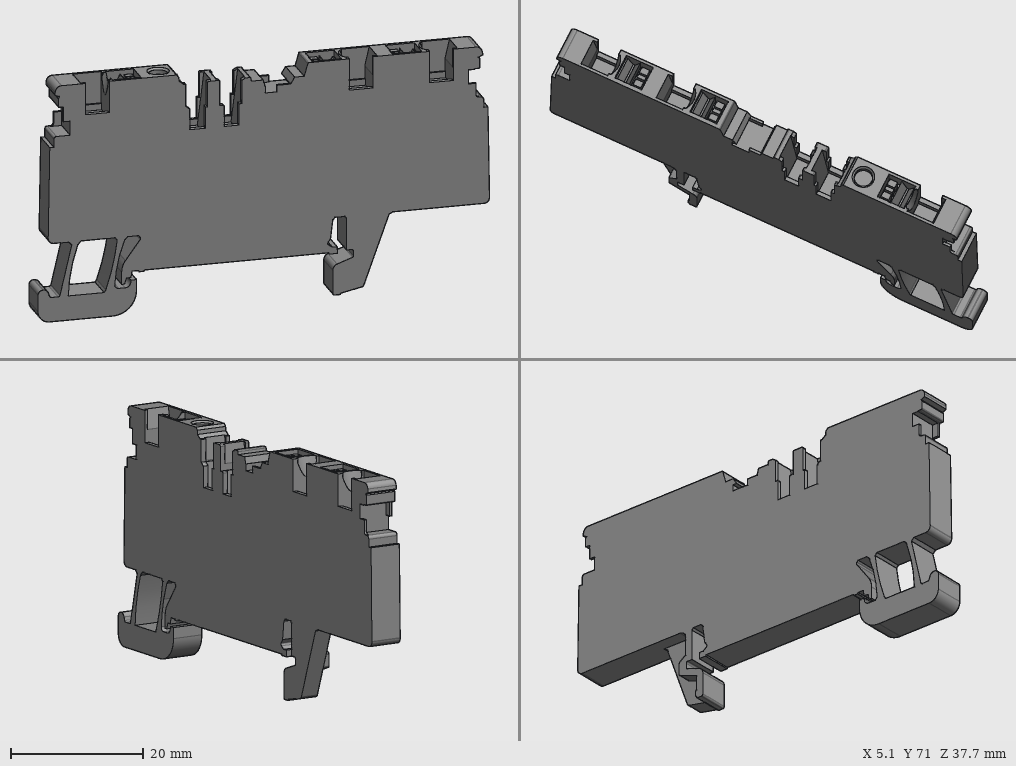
import cadquery as cq
import math


thickness = 5.1
length = 70.98
height = 37.65
half_x = thickness / 2
y_max = length / 2
y_min = -y_max

housing_bottom = 12.5
root_top = housing_bottom + 1.0
rail_web_bottom = 6.9
rail_step_height = 0.2
end_shoulder = 27.9
end_notch_bottom = 29.6
end_notch_top = 34.2
marker_ledge = 35.55
marker_seat = 34.5
fin_top = 36.15
bridge_step = 32.1
bridge_floor = 28.7

front_face = -33.9
taper_height = 13.45
housing_corner_radius = 0.9

side_wall = 0.42
end_pocket_mid = 31.85
end_pocket_half = 2.25
back_pocket_floor = 32.2
front_pocket_floor = -30.45

top_pocket_back = 4.9
top_pocket_front = 0.25
top_pocket_mid = 2.1
top_pocket_floor = 33.45

bridge_x_min = -1.93
bridge_x_max = 1.72
bridge_flare = 1.05
bridge_channel_depth = 1.0
bridge_channel_floor = bridge_floor - bridge_channel_depth
bridge_slots = [(-3.9, -6.22), (-9.2, -11.65)]

entry_spacing = 12.62
back_entry_y = 27.93
entries = [(back_entry_y, -1), (back_entry_y - entry_spacing, -1), (-26.15, 1)]
entry_length = 3.75
entry_x_min = -1.75
entry_x_max = 1.8
entry_mouth_x_min = -2.1
entry_depth = 6.0
entry_side_opening = 5.0
entry_slope_run = 0.7
entry_slope_drop = 3.0
entry_cone_radius = 2.75
entry_cone_half_width = 1.7

back_release_y = 22.67
release_slots = [(back_release_y, 1), (back_release_y - entry_spacing, 1), (-21.45, -1)]
release_length = 4.5
release_width = 4.0
release_x = 0.08
release_depth = 2.5
pusher_drop = 0.6
falling_ramp_start = -0.1
falling_ramp_end = 0.8
rising_ramp_start = 1.1
rising_ramp_end = 2.0
rising_ramp_drop = 1.0
pusher_offset = -1.25
pusher_length = 1.3
pusher_pads = [(-1.0, 1.0), (0.1, 0.6), (1.15, 1.0)]

test_y = -15.9
test_rim_radius = 1.7
test_radius = 1.4
test_chamfer_depth = 0.3
test_depth = 1.0

latch_web_recess = 2.2


def corner(previous, point, following):
    """Start, middle and end of the arc rounding an outline corner, or the bare corner point."""
    y, z = point[:2]
    if len(point) == 2:
        return [(y, z)]
    radius = point[2]
    back = cq.Vector(previous[0] - y, previous[1] - z).normalized()
    ahead = cq.Vector(following[0] - y, following[1] - z).normalized()
    half_angle = back.getAngle(ahead) / 2
    tangent = radius / math.tan(half_angle)
    to_arc = radius / math.sin(half_angle) - radius
    here = cq.Vector(y, z)
    start = here + back * tangent
    middle = here + (back + ahead).normalized() * to_arc
    end = here + ahead * tangent
    return [(v.x, v.y) for v in (start, middle, end)]


def plate(points, x_start=-half_x, x_end=half_x):
    """Extrude a (y, z) outline with rounded corners between two x positions."""
    count = len(points)
    corners = [corner(points[i - 1], points[i], points[(i + 1) % count]) for i in range(count)]
    sketch = cq.Workplane("YZ", origin=(x_start, 0, 0)).moveTo(*corners[0][-1])
    for rounded in corners[1:] + corners[:1]:
        sketch = sketch.lineTo(*rounded[0])
        if len(rounded) > 1:
            sketch = sketch.threePointArc(*rounded[1:])
    return sketch.close().extrude(x_end - x_start)


def box(x_range, y_range, z_range):
    """Axis-aligned block given by its limits, in either order."""
    size = [abs(b - a) for a, b in (x_range, y_range, z_range)]
    low = [min(limits) for limits in (x_range, y_range, z_range)]
    return cq.Workplane("XY").box(*size, centered=False).translate(tuple(low))


def housing():
    """Main body outline, followed from the +Y end over the top to the -Y end."""
    back_end = [
        (y_max, housing_bottom, housing_corner_radius),
        (y_max, taper_height),
        (35.25, end_shoulder),
        (34.6, end_shoulder),
        (34.6, end_notch_bottom, 0.5),
        (33.35, end_notch_bottom, 0.5),
        (33.35, end_pocket_mid),
        (33.1, end_pocket_mid),
        (33.1, end_notch_top, 0.15),
        (33.95, end_notch_top, 0.15),
        (33.95, 35.8),
        (33.7, 35.95),
        (34.45, 36.3),
        (34.2, height, 1.0),
    ]
    marker_step = [
        (6.95, height, 0.15),
        (6.35, marker_ledge),
        (4.85, marker_ledge),
        (4.2, marker_seat),
        (0.2, marker_seat),
        (-0.1, marker_ledge),
        (-1.95, marker_ledge),
        (-2.05, fin_top, 0.2),
        (-2.9, fin_top),
    ]
    bridge_fins = [
        (-3.45, 35.8),
        (-3.45, bridge_step),
        (bridge_slots[0][0], bridge_step),
        (bridge_slots[0][0], bridge_floor),
        (bridge_slots[0][1], bridge_floor),
        (bridge_slots[0][1], bridge_step, 0.2),
        (-6.9, bridge_step),
        (-6.9, fin_top, 0.25),
        (-8.85, fin_top, 0.25),
        (-8.85, bridge_step),
        (bridge_slots[1][0], bridge_step),
        (bridge_slots[1][0], bridge_floor),
        (bridge_slots[1][1], bridge_floor),
        (bridge_slots[1][1], 32.0),
        (-12.27, 32.5),
        (-12.27, 36.0),
        (-12.6, 36.05),
        (-13.3, 36.6),
        (-13.35, 37.25),
        (-13.75, height),
    ]
    front_end = [
        (-32.8, height, 1.0),
        (-32.8, 36.2),
        (-32.1, 35.9),
        (-32.3, 35.6),
        (-32.3, end_notch_top, 0.15),
        (-31.5, end_notch_top, 0.15),
        (-31.5, end_pocket_mid),
        (-31.7, end_pocket_mid),
        (-31.7, end_notch_bottom, 0.5),
        (-33.0, end_notch_bottom, 0.4),
        (-33.0, end_shoulder),
        (-33.65, end_shoulder),
        (front_face, taper_height),
        (front_face, housing_bottom, housing_corner_radius),
    ]
    return plate(back_end + marker_step + bridge_fins + front_end)


def rail_web():
    """Plate under the housing that rests on the rail, with a hook at each end."""
    step = rail_web_bottom - rail_step_height
    return plate([
        (11.2, root_top),
        (11.2, housing_bottom),
        (10.85, 12.1),
        (10.5, 9.2),
        (9.95, 8.35, 0.3),
        (10.8, 7.75),
        (11.55, 7.75),
        (11.55, step),
        (10.3, step),
        (10.2, rail_web_bottom),
        (-18.75, rail_web_bottom),
        (-18.85, step),
        (-19.6, step),
        (-19.7, rail_web_bottom),
        (-20.7, rail_web_bottom),
        (-20.9, 5.9),
        (-21.6, 5.9),
        (-21.9, 4.95),
        (-22.35, 4.95),
        (-22.35, 7.9, 3.0),
        (-19.3, 12.05, 0.3),
        (-19.7, housing_bottom),
        (-19.7, root_top),
    ])


def latch():
    """Full-width spring arm stiffened by a thinner triangular web."""
    arm = plate([
        (12.7, root_top),
        (12.7, housing_bottom),
        (13.0, 12.2),
        (13.0, 7.1),
        (14.1, 7.1, 0.3),
        (14.1, 5.9, 0.2),
        (10.85, 4.75, 1.0),
        (10.85, 0.05, 0.3),
        (12.0, 0.05),
        (12.3, 0.5),
        (12.3, 1.4),
        (12.12, 1.5),
        (12.12, 3.95),
        (15.55, 5.25, 0.25),
        (15.55, 7.35),
        (14.25, 8.3),
        (14.25, housing_bottom, 1.1),
        (15.4, housing_bottom),
        (15.4, root_top),
    ])
    web = plate(
        [
            (20.3, root_top),
            (20.3, housing_bottom),
            (19.7, 12.2),
            (15.65, 1.0, 0.5),
            (11.8, 0.2),
            (11.8, 4.3),
            (15.0, 5.5),
            (15.0, 7.2),
            (13.7, 8.2),
            (13.7, root_top),
        ],
        x_start=-half_x + latch_web_recess,
    )
    return arm.union(web)


def spring_foot():
    """Jaw hanging on two flexible legs."""
    jaw_floor = 3.9
    jaw = plate([
        (-21.4, root_top),
        (-21.4, housing_bottom),
        (-21.9, 12.0),
        (-22.75, 9.4),
        (-23.2, 7.2),
        (-23.5, 4.35, 0.6),
        (-20.95, 4.35, 0.9),
        (-20.9, 5.5),
        (-20.0, 5.5),
        (-20.0, 0, 3.8),
        (y_min, 0, 1.8),
        (y_min, 5.2, 0.75),
        (-34.05, 5.2, 0.85),
        (-33.6, jaw_floor, 0.3),
        (-32.1, jaw_floor, 0.3),
        (-30.2, 12.0),
        (-30.7, housing_bottom),
        (-30.7, root_top),
    ])
    window = (
        cq.Workplane("YZ", origin=(-half_x, 0, 0))
        .moveTo(-23.4, housing_bottom)
        .lineTo(-23.05, 12.1)
        .threePointArc((-23.75, 8.1), (-24.85, 4.3))
        .lineTo(-25.1, jaw_floor)
        .lineTo(-30.75, jaw_floor)
        .threePointArc((-30.25, 8.2), (-29.25, 11.9))
        .lineTo(-28.75, housing_bottom)
        .close()
        .extrude(thickness)
    )
    return jaw.cut(window)


def end_marker_pocket(floor_y, outside_y):
    """Pocket in an end face; its upper half opens to -X or +X, its lower half to the other side."""
    z_low = end_pocket_mid - end_pocket_half
    z_high = end_pocket_mid + end_pocket_half
    upper_side = math.copysign(1, floor_y)
    wall = half_x - side_wall
    y_range = (floor_y, outside_y)
    upper = box((-upper_side * wall, upper_side * half_x), y_range, (end_pocket_mid, z_high))
    lower = box((-upper_side * half_x, upper_side * wall), y_range, (z_low, end_pocket_mid))
    return upper.union(lower)


def top_marker_pocket():
    """Marker seat recess; one half opens to -X and the other to +X."""
    wall = half_x - side_wall
    z_range = (top_pocket_floor, marker_seat)
    back = box((-half_x, wall), (top_pocket_mid, top_pocket_back), z_range)
    front = box((-wall, half_x), (top_pocket_front, top_pocket_mid), z_range)
    return back.union(front)


def bridge_flare_cut(back, front):
    """Tapered, deeper channel of a bridge slot between its two side rims."""
    outline = [
        (back, bridge_channel_floor),
        (back + bridge_flare, fin_top),
        (front - bridge_flare, fin_top),
        (front, bridge_channel_floor),
    ]
    return plate(outline, bridge_x_min, bridge_x_max)


def conductor_entry(centre_y, towards_release):
    """Wire chamber with a sloped outer wall, a conical inner wall and an open +X side."""
    half = entry_length / 2
    y_range = (centre_y - half, centre_y + half)
    floor = height - entry_depth
    opening_floor = height - entry_side_opening
    chamber = box((entry_x_min, entry_x_max), y_range, (floor, height))
    mouth = box((entry_mouth_x_min, half_x), y_range, (opening_floor, height))

    outer_y = centre_y - towards_release * half
    slope = plate(
        [
            (outer_y, height),
            (outer_y - towards_release * entry_slope_run, height),
            (outer_y, height - entry_slope_drop),
        ],
        entry_mouth_x_min,
        -entry_mouth_x_min,
    )
    cone_base = cq.Vector(0, centre_y, height - entry_slope_drop)
    cone = cq.Workplane("XY").add(cq.Solid.makeCone(half, entry_cone_radius, entry_slope_drop, cone_base))
    inner_side = box(
        (-entry_cone_half_width, entry_cone_half_width),
        (centre_y, centre_y + towards_release * entry_cone_radius),
        (floor, height),
    )
    return chamber.union(mouth).union(slope).union(cone.intersect(inner_side))


def release_slot(centre_y, valley_side):
    """Slot for the release tool, with three pusher pads and a valley between two ramps inside."""
    half_y = release_length / 2
    x_range = (release_x - release_width / 2, release_x + release_width / 2)
    floor = height - release_depth
    pusher_top = height - pusher_drop
    rising_top = height - rising_ramp_drop
    slot = box(x_range, (centre_y - half_y, centre_y + half_y), (floor, height))

    falling_ramp = [
        (falling_ramp_start, floor),
        (falling_ramp_start, pusher_top),
        (falling_ramp_end, floor),
    ]
    rising_ramp = [
        (rising_ramp_start, floor),
        (rising_ramp_end, rising_top),
        (half_y, rising_top),
        (half_y, floor),
    ]
    for ramp in (falling_ramp, rising_ramp):
        slot = slot.cut(plate([(centre_y + valley_side * y, z) for y, z in ramp], *x_range))

    pad_y = centre_y + valley_side * pusher_offset
    pad_range = (pad_y - pusher_length / 2, pad_y + pusher_length / 2)
    for pad_x, pad_width in pusher_pads:
        pad_limits = (pad_x - pad_width / 2, pad_x + pad_width / 2)
        slot = slot.cut(box(pad_limits, pad_range, (floor, pusher_top)))
    return slot


def test_point():
    """Shallow round test socket with a chamfered rim."""
    bore = cq.Solid.makeCylinder(test_radius, test_depth, cq.Vector(0, test_y, height - test_depth))
    rim = cq.Solid.makeCone(
        test_radius,
        test_rim_radius,
        test_chamfer_depth,
        cq.Vector(0, test_y, height - test_chamfer_depth),
    )
    return cq.Workplane("XY").add(bore).union(cq.Workplane("XY").add(rim))


result = housing().union(rail_web()).union(latch()).union(spring_foot())

result = result.cut(end_marker_pocket(back_pocket_floor, y_max))
result = result.cut(end_marker_pocket(front_pocket_floor, y_min))
result = result.cut(top_marker_pocket())
for slot_back, slot_front in bridge_slots:
    result = result.cut(bridge_flare_cut(slot_back, slot_front))
for entry_y, release_side in entries:
    result = result.cut(conductor_entry(entry_y, release_side))
for slot_y, valley_direction in release_slots:
    result = result.cut(release_slot(slot_y, valley_direction))
result = result.cut(test_point())